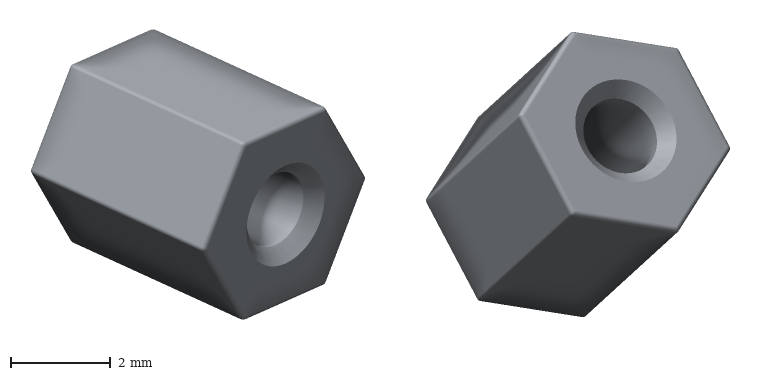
import cadquery as cq
import math

length = 5.0
across_flats = 4.0
edge_radius = 0.1
bore_diameter = 1.6
countersink_diameter = 2.2
countersink_depth = (countersink_diameter - bore_diameter) / 2

across_corners = across_flats / math.cos(math.radians(30))


def rounded_hexagon():
    """Hexagonal bar with corners on the Y axis and every edge rounded."""
    bar = cq.Workplane("YZ").polygon(6, across_corners).extrude(length / 2, both=True)
    return bar.edges().fillet(edge_radius)


def countersunk_bore():
    """Solid of revolution about X: the through bore flared at both ends."""
    half_length = length / 2
    bore_radius = bore_diameter / 2
    countersink_radius = countersink_diameter / 2
    straight_end = half_length - countersink_depth
    return (
        cq.Workplane("XY")
        .moveTo(-half_length, 0)
        .lineTo(-half_length, countersink_radius)
        .lineTo(-straight_end, bore_radius)
        .lineTo(straight_end, bore_radius)
        .lineTo(half_length, countersink_radius)
        .lineTo(half_length, 0)
        .close()
        .revolve(360, (0, 0, 0), (1, 0, 0))
    )


result = rounded_hexagon().cut(countersunk_bore())